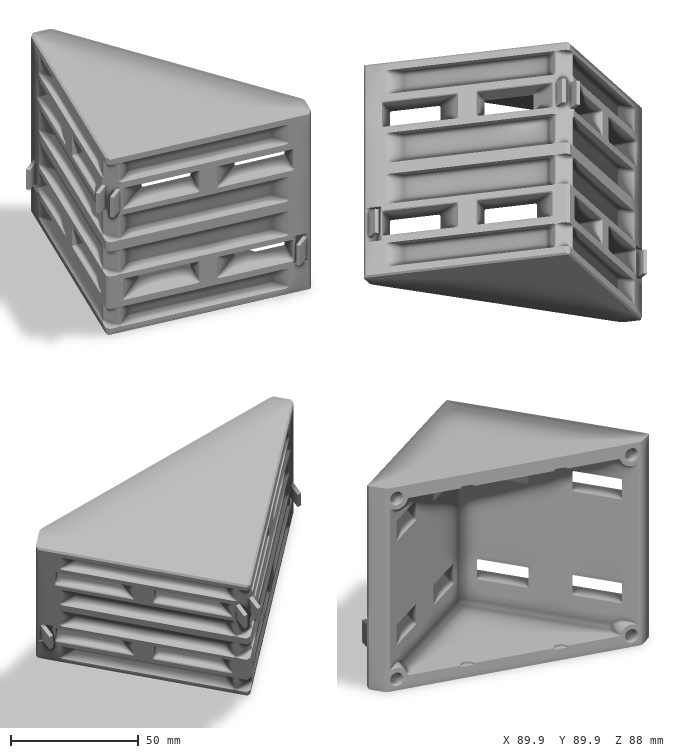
import cadquery as cq
import math

side = 85.8
height = 88.0
leg_end = 8.7
corner_chamfer = 1.3
rim_edge_radius = 2.7
cap_edge_chamfer = 0.7

wall = 9.8
cap = 5.7
inner_radius = 2.1
overshoot = 18

boss_radius = 4.9
boss_draft = 6
boss_from_cap = 4.9
boss_x = 3.1
screw_diameter = 5.0
screw_depth = 6.3
countersink_diameter = 5.8

groove_start = 9.8
groove_depth = 5.1
groove_floor_fillet = 1.3
groove_side_fillet = 1.1
ridge_fillet = 0.9
groove_spans = [(3.4, 13.2), (29.3, 41.7)]

tab_low_z = 21.5
tab_high_z = height - tab_low_z
tab_height = 9.9
tab_reach = 4.1
tab_thickness = 1.6
bevel = 5.5
bevel_start = side - bevel
slot_layout = [
    (7.5, 28.8, tab_low_z),
    (7.5, 28.8, tab_high_z),
    (46.9, 69.0, tab_low_z),
    (46.9, 67.7, tab_high_z),
]
slot_easing = 0.4
slot_length = 32.2
slot_height = 10.6
slot_inner_height = 8.8
slot_corner = 0.7
recess_start = 1.4
recess_end = 7.8
recess_height = 14.0
tab_end_start = 2.4
tab_end_foot = 0.9
tab_corner_foot = 0.5

notch_radius = 2.7
notch_depth = 0.7
notch_offset = 14.1


def prism(points, z_low, z_high):
    """Extrude an XY outline between two heights."""
    return cq.Workplane("XY").workplane(offset=z_low).polyline(points).close().extrude(z_high - z_low)


def centred_prism(points, z_middle, size):
    return prism(points, z_middle - size / 2, z_middle + size / 2)


def to_other_leg(shape):
    """Mirror a shape from the -Y leg onto the +X leg, across the plane x + y = side."""
    return shape.mirror(cq.Vector(1, 1, 0), (side, 0, 0))


def outer_body():
    outline = [
        (corner_chamfer, 0), (side - corner_chamfer, 0),
        (side, corner_chamfer), (side, side - corner_chamfer),
        (side - corner_chamfer, side), (side - leg_end, side),
        (0, leg_end), (0, corner_chamfer),
    ]
    body = prism(outline, 0, height)
    for face in ("<Y", ">X"):
        body = body.faces(face).edges("|X or |Y").chamfer(cap_edge_chamfer)
    rim_ends = [(0, leg_end), (side - leg_end, side)]
    for x, y in rim_ends:
        body = body.edges(cq.selectors.NearestToPointSelector((x, y, height / 2))).fillet(rim_edge_radius)
    return body


def boss_plane(z):
    """Plane on the slanted face at a boss centre, facing into the part."""
    return cq.Plane(origin=(boss_x, boss_x + leg_end, z), xDir=(0, 0, 1), normal=(1, -1, 0))


def cavity():
    inner_corner = side - wall
    outline = [
        (-overshoot, wall), (inner_corner, wall),
        (inner_corner, side + overshoot), (-overshoot, side + overshoot),
    ]
    space = prism(outline, cap, height - cap)
    space = space.faces("<Y or >X").edges().edges("not(<X or >Y)").fillet(inner_radius)
    for z in (boss_from_cap, height - boss_from_cap):
        boss = cq.Workplane(boss_plane(z)).circle(boss_radius).extrude(overshoot, taper=-boss_draft)
        space = space.cut(boss).cut(to_other_leg(boss))
    return space


def screw_hole(z):
    hole = cq.Workplane(boss_plane(z)).circle(screw_diameter / 2).extrude(screw_depth)
    sink_depth = (countersink_diameter - screw_diameter) / 2
    sink = (
        cq.Workplane(boss_plane(z)).circle(countersink_diameter / 2)
        .workplane(offset=sink_depth).circle(screw_diameter / 2).loft()
    )
    return hole.union(sink)


def mirrored_point(x, y):
    return (side - y, side - x)


def fillet_upright_edges(solid, points, radius):
    """Fillet the upright edges of a z-centred solid that stand on the given XY points."""
    for x, y in points:
        solid = solid.edges(cq.selectors.NearestToPointSelector((x, y, 0))).fillet(radius)
    return solid


def groove(z_low, z_high):
    """Groove with 45 degree ends, running along both legs and bevelling the corner between them."""
    floor_points = [(groove_start + groove_depth, groove_depth), (bevel_start - groove_depth, groove_depth)]
    ridge = (bevel_start, 0)
    near_half = [(groove_start - overshoot, -overshoot), *floor_points, ridge]
    far_half = [mirrored_point(*point) for point in reversed(near_half)]
    beyond_corner = (side + overshoot, -overshoot)
    length = z_high - z_low
    channel = prism([*near_half, *far_half, beyond_corner], -length / 2, length / 2)

    floor_corners = floor_points + [mirrored_point(*point) for point in floor_points]
    channel = fillet_upright_edges(channel, floor_corners, groove_floor_fillet)
    channel = fillet_upright_edges(channel, [ridge, mirrored_point(*ridge)], ridge_fillet)
    channel = channel.faces("<Z or >Z").edges("not(<Y or >X)").fillet(groove_side_fillet)
    return channel.translate((0, 0, (z_low + z_high) / 2))


def slot_section(start, end, width, depth):
    """Rounded rectangle across a slot at some depth below the leg's outer face."""
    section = cq.Sketch().rect(end - start, width).vertices().fillet(slot_corner)
    return section.moved(cq.Location(cq.Vector((start + end) / 2, 0, -depth)))


def slot(start, inner_end):
    """Latch slot with a slanted +X end and an eased mouth, narrowing towards the inside."""
    end = start + slot_length
    throat_start = start + slot_easing
    mouth = slot_section(start, end, slot_height, 0)
    throat = slot_section(throat_start, end - slot_easing, slot_height - 2 * slot_easing, slot_easing)
    inside = slot_section(throat_start, inner_end, slot_inner_height, wall)
    eased_mouth = cq.Workplane("XZ").placeSketch(mouth, throat).loft()
    passage = cq.Workplane("XZ").placeSketch(throat, inside).loft()
    return eased_mouth.union(passage)


def corner_bevel(z_low, z_high):
    outline = [(bevel_start, 0), (bevel_start + overshoot, 0),
               (bevel_start + overshoot, overshoot)]
    return prism(outline, z_low, z_high)


def end_recess():
    middle = (recess_start + recess_end) / 2
    outline = [(recess_start, 0), (recess_end, 0), (middle, middle - recess_start)]
    return centred_prism(outline, tab_low_z, recess_height)


def tab(start, foot, z_middle):
    """Tab leaning at 45 degrees; its lower face crosses the leg's outer face at start."""
    step = tab_thickness / math.sqrt(2)
    outline = [
        (start - foot, foot), (start + tab_reach, -tab_reach),
        (start + tab_reach + step, step - tab_reach), (start - foot + step, foot + step),
    ]
    return centred_prism(outline, z_middle, tab_height)


def rim_notch(offset, z_low):
    """Shallow round notch in a cap, on the edge of the open face, offset from its middle."""
    x = (side - leg_end) / 2 + offset
    return cq.Workplane("XY", origin=(x, x + leg_end, z_low)).circle(notch_radius).extrude(notch_depth)


def leg_cutters():
    """Everything cut into the -Y leg."""
    cutters = [end_recess()]
    for start, inner_end, z_middle in slot_layout:
        cutters.append(slot(start, inner_end).translate((0, 0, z_middle)))
    for z in (boss_from_cap, height - boss_from_cap):
        cutters.append(screw_hole(z))
    return cutters


body = outer_body().cut(cavity())

for z_low, z_high in groove_spans:
    body = body.cut(groove(z_low, z_high))
    body = body.cut(groove(height - z_high, height - z_low))

outer_middle, inner_middle = [(low + high) / 2 for low, high in groove_spans]
body = body.cut(corner_bevel(height - inner_middle, height - outer_middle))

for cutter in leg_cutters():
    body = body.cut(cutter).cut(to_other_leg(cutter))

for offset in (-notch_offset, notch_offset):
    for z_low in (cap - notch_depth, height - cap):
        body = body.cut(rim_notch(offset, z_low))

for latch in (tab(tab_end_start, tab_end_foot, tab_low_z), tab(bevel_start, tab_corner_foot, tab_high_z)):
    body = body.union(latch).union(to_other_leg(latch))

result = body